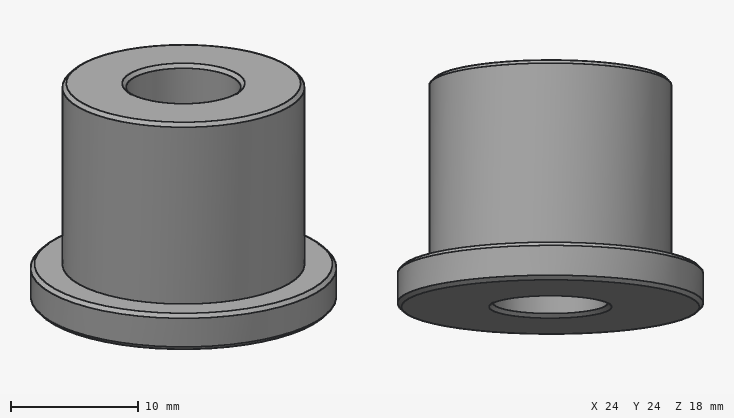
import cadquery as cq

flange_diameter = 24.0
flange_thickness = 3.0
barrel_diameter = 19.0
bore_diameter = 9.0
total_height = 18.0
edge_chamfer = 0.3

flange = (
    cq.Workplane("XY")
    .circle(flange_diameter / 2)
    .extrude(flange_thickness)
    .edges()
    .chamfer(edge_chamfer)
)

barrel = (
    cq.Workplane("XY")
    .circle(barrel_diameter / 2)
    .extrude(total_height)
    .faces(">Z")
    .edges()
    .chamfer(edge_chamfer)
)

bore = cq.Workplane("XY").circle(bore_diameter / 2).extrude(total_height)
bushing = flange.union(barrel).cut(bore)
bore_rims = cq.selectors.RadiusNthSelector(0)
result = bushing.edges(bore_rims).chamfer(edge_chamfer)